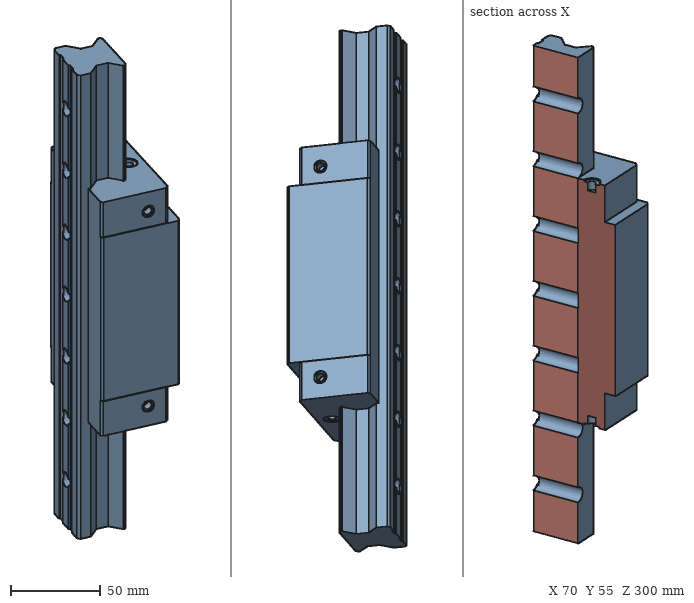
import cadquery as cq


RAIL_LENGTH = 300.0
RAIL_HALF_WIDTH = 16.95
RAIL_HEIGHT = 30.0
WEB_HALF_WIDTH = 10.5
RAIL_FOOT_HEIGHT = 7.8
RAIL_HEAD_BOTTOM = 28.0
RAIL_SLOPE = RAIL_HALF_WIDTH - WEB_HALF_WIDTH
RAIL_HEAD_CHAMFER = 1.2
RAIL_FOOT_CHAMFER = 1.5

GROOVE_OUTER = 8.7
GROOVE_FLOOR_INNER = 4.2
GROOVE_INNER = 4.0
GROOVE_DEPTH = 1.0

HOLE_COUNT = 7
HOLE_END_MARGIN = 30.0
HOLE_PITCH = (RAIL_LENGTH - 2 * HOLE_END_MARGIN) / (HOLE_COUNT - 1)
HOLE_DIAMETER = 9.0

CARRIAGE_WIDTH = 70.0
CARRIAGE_TOP = 55.0
CARRIAGE_BOTTOM = 6.3
CARRIAGE_LENGTH = 151.2
BLOCK_LENGTH = 106.0
CAP_TOP = 48.0
CAP_WIDTH = 68.7
BLOCK_TOP_CHAMFER = 1.5
CAP_TOP_CHAMFER = 1.8
BOTTOM_CHAMFER = 1.2

END_PORT_HEIGHT = 39.0
END_PORT_DIAMETER = 10.0
END_PORT_BORE = 4.8
SIDE_PORT_HEIGHT = 35.5
SIDE_PORT_DIAMETER = 7.2
SIDE_PORT_BORE = 4.8
SIDE_PORT_Z = 63.0
PORT_RECESS_DEPTH = 1.0
PORT_BORE_DEPTH = 6.0


def extrude_centered(outline, length):
    """Extrude an XY outline along Z, symmetric about Z = 0."""
    return outline.extrude(length / 2, both=True)


def symmetric_outline(half):
    """Closed XY outline from its +X half, listed from bottom to top."""
    mirrored = [(-x, y) for x, y in reversed(half)]
    return cq.Workplane("XY").polyline(half + mirrored).close()


def rail_outline():
    """Rail cross-section without the grooves in its mounting face."""
    half = [
        (RAIL_HALF_WIDTH - RAIL_FOOT_CHAMFER, 0),
        (RAIL_HALF_WIDTH, RAIL_FOOT_CHAMFER),
        (RAIL_HALF_WIDTH, RAIL_FOOT_HEIGHT),
        (WEB_HALF_WIDTH, RAIL_FOOT_HEIGHT + RAIL_SLOPE),
        (WEB_HALF_WIDTH, RAIL_HEAD_BOTTOM - RAIL_SLOPE),
        (RAIL_HALF_WIDTH, RAIL_HEAD_BOTTOM),
        (RAIL_HALF_WIDTH, RAIL_HEIGHT - RAIL_HEAD_CHAMFER),
        (RAIL_HALF_WIDTH - RAIL_HEAD_CHAMFER, RAIL_HEIGHT),
    ]
    return symmetric_outline(half)


def relief_groove(side):
    """Shallow groove on one side (+1 or -1) of the mounting face, with a sloped inner wall."""
    corners = [
        (side * GROOVE_OUTER, 0),
        (side * GROOVE_OUTER, GROOVE_DEPTH),
        (side * GROOVE_FLOOR_INNER, GROOVE_DEPTH),
        (side * GROOVE_INNER, 0),
    ]
    return extrude_centered(cq.Workplane("XY").polyline(corners).close(), RAIL_LENGTH)


def make_rail():
    rail = extrude_centered(rail_outline(), RAIL_LENGTH)
    for side in (-1, 1):
        rail = rail.cut(relief_groove(side))
    holes = (
        cq.Workplane("XZ")
        .rarray(3, HOLE_PITCH, 1, HOLE_COUNT)
        .circle(HOLE_DIAMETER / 2)
        .extrude(-RAIL_HEIGHT)
    )
    return rail.cut(holes)


def carriage_section(width, top, top_chamfer):
    """Carriage cross-section up to the given height, with all four corners chamfered."""
    half_width = width / 2
    half = [
        (half_width - BOTTOM_CHAMFER, CARRIAGE_BOTTOM),
        (half_width, CARRIAGE_BOTTOM + BOTTOM_CHAMFER),
        (half_width, top - top_chamfer),
        (half_width - top_chamfer, top),
    ]
    return symmetric_outline(half)


def port(origin, normal, diameter, bore):
    """Cutting tool for a lubrication port: a shallow round recess and a blind bore along the normal."""
    plane = cq.Plane(origin=origin, xDir=(0, 1, 0), normal=normal)
    recess = cq.Workplane(plane).circle(diameter / 2).extrude(PORT_RECESS_DEPTH)
    return recess.union(cq.Workplane(plane).circle(bore / 2).extrude(PORT_BORE_DEPTH))


def make_carriage():
    block_section = carriage_section(CARRIAGE_WIDTH, CARRIAGE_TOP, BLOCK_TOP_CHAMFER)
    cap_section = carriage_section(CAP_WIDTH, CAP_TOP, CAP_TOP_CHAMFER)
    block = extrude_centered(block_section, BLOCK_LENGTH)
    carriage = block.union(extrude_centered(cap_section, CARRIAGE_LENGTH))
    carriage = carriage.cut(extrude_centered(rail_outline(), CARRIAGE_LENGTH))
    for end in (-1, 1):
        end_face = (0, END_PORT_HEIGHT, end * CARRIAGE_LENGTH / 2)
        carriage = carriage.cut(port(end_face, (0, 0, -end), END_PORT_DIAMETER, END_PORT_BORE))
        for side in (-1, 1):
            side_face = (side * CAP_WIDTH / 2, SIDE_PORT_HEIGHT, end * SIDE_PORT_Z)
            carriage = carriage.cut(port(side_face, (-side, 0, 0), SIDE_PORT_DIAMETER, SIDE_PORT_BORE))
    return carriage


rail = make_rail()
carriage = make_carriage()
result = cq.Compound.makeCompound([rail.val(), carriage.val()])